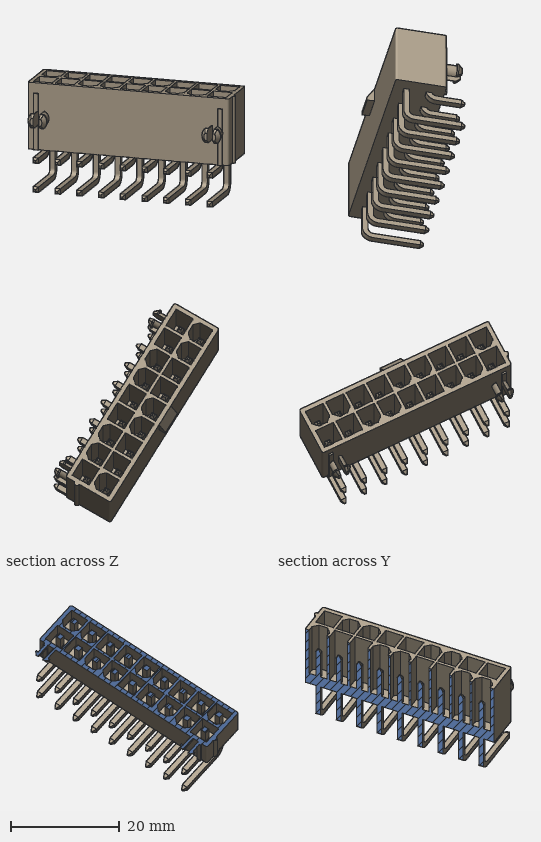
import cadquery as cq
import math


body_length = 38.93
body_width = 9.6
body_height = 12.73
corner_radius = 0.4
front_y = -body_width / 2
back_y = body_width / 2

columns = 9
end_column_span = 33.6
pitch = end_column_span / (columns - 1)
end_column_x = end_column_span / 2
back_row_y = pitch / 2
front_row_y = -pitch / 2

pocket_size = 3.62
pocket_depth = 10.25
pocket_corner_cut = 0.95
back_keyed_columns = (0, 1, 4, 5, 8)
front_keyed_columns = (2, 3, 6, 7)

pin_size = 1.05
pin_row_shift = 0.2
pin_top_gap = 3.95
pin_reach = 3.98
bend_inner_radius = 0.95
back_pin_drop = 7.2
row_drop_step = 5.5
front_pin_drop = back_pin_drop - row_drop_step
tip_length = 0.7
tip_size = 0.35

latch_width = 4.25
latch_depth = 1.4
latch_ramp_height = 2.32
latch_height = 3.1
latch_undercut = 0.15

rib_radius = 0.47
rib_y = -body_width / 4

rail_width = 0.85
rail_thickness = 0.35
rail_top_gap = 1.97
peg_z = 6.1
peg_radius = 1.45
peg_slot_width = 1.15
barb_radius = 1.8
barb_start = 2.2
barb_taper_start = 2.5
peg_length = 3.3
barb_taper_inset = 0.67
peg_half_height = math.sqrt(peg_radius**2 - (peg_slot_width / 2) ** 2)


def column_x(column):
    return -end_column_x + column * pitch


def make_body():
    body = cq.Workplane("XY").box(body_length, body_width, body_height, centered=(True, True, False))
    return body.edges("|Z").fillet(corner_radius)


def make_pocket(x, y, keyed):
    pocket = (
        cq.Workplane("XY", origin=(x, y, body_height - pocket_depth))
        .rect(pocket_size, pocket_size)
        .extrude(pocket_depth)
    )
    if keyed:
        pocket = pocket.edges("|Z and <Y").chamfer(pocket_corner_cut)
    return pocket


def make_tip(plane):
    return (
        cq.Workplane(plane)
        .rect(pin_size, pin_size)
        .workplane(offset=tip_length)
        .rect(tip_size, tip_size)
        .loft()
    )


def make_pin(x, row_y, drop):
    centre_y = row_y + pin_row_shift
    outer_y = centre_y + pin_size / 2
    inner_y = centre_y - pin_size / 2
    shank_top_z = body_height - pin_top_gap - tip_length
    shank_end_y = front_y - pin_reach + tip_length
    leg_bottom_z = -drop
    leg_top_z = leg_bottom_z + pin_size
    bend_outer_radius = bend_inner_radius + pin_size
    shank = (
        cq.Workplane("YZ", origin=(x - pin_size / 2, 0, 0))
        .moveTo(inner_y, shank_top_z)
        .lineTo(outer_y, shank_top_z)
        .lineTo(outer_y, leg_bottom_z + bend_outer_radius)
        .radiusArc((outer_y - bend_outer_radius, leg_bottom_z), bend_outer_radius)
        .lineTo(shank_end_y, leg_bottom_z)
        .lineTo(shank_end_y, leg_top_z)
        .lineTo(inner_y - bend_inner_radius, leg_top_z)
        .radiusArc((inner_y, leg_top_z + bend_inner_radius), -bend_inner_radius)
        .close()
        .extrude(pin_size)
    )
    top_plane = cq.Plane((x, centre_y, shank_top_z), (1, 0, 0), (0, 0, 1))
    leg_plane = cq.Plane((x, shank_end_y, leg_bottom_z + pin_size / 2), (1, 0, 0), (0, -1, 0))
    return shank.union(make_tip(top_plane)).union(make_tip(leg_plane))


def make_latch():
    tip_y = back_y + latch_depth
    return (
        cq.Workplane("YZ", origin=(-latch_width / 2, 0, 0))
        .moveTo(back_y, body_height)
        .lineTo(tip_y, body_height - latch_ramp_height)
        .lineTo(tip_y, body_height - latch_height)
        .lineTo(back_y, body_height - latch_height + latch_undercut)
        .close()
        .extrude(latch_width)
    )


def make_rib():
    return cq.Workplane("XY", origin=(body_length / 2, rib_y, 0)).circle(rib_radius).extrude(body_height)


def make_rail(side):
    """Rail beside a peg, its inner edge flush with the peg's slot; side is -1 or +1."""
    centre_x = side * (end_column_x + (peg_slot_width + rail_width) / 2)
    return cq.Workplane("XY", origin=(centre_x, front_y - rail_thickness / 2, 0)).box(
        rail_width, rail_thickness, body_height - rail_top_gap, centered=(True, True, False)
    )


def barb_outline(plane):
    """Disc with flats on its upper and lower sides."""
    flat_x = math.sqrt(barb_radius**2 - peg_half_height**2)
    return (
        cq.Workplane(plane)
        .moveTo(-flat_x, -peg_half_height)
        .lineTo(flat_x, -peg_half_height)
        .threePointArc((barb_radius, 0), (flat_x, peg_half_height))
        .lineTo(-flat_x, peg_half_height)
        .threePointArc((-barb_radius, 0), (-flat_x, -peg_half_height))
        .close()
    )


def make_peg(x):
    def peg_plane(distance):
        return cq.Plane((x, front_y - distance, peg_z), (1, 0, 0), (0, -1, 0))

    taper_length = peg_length - barb_taper_start
    taper_angle = math.degrees(math.atan2(barb_taper_inset, taper_length))
    shaft = cq.Workplane(peg_plane(0)).circle(peg_radius).extrude(barb_taper_start)
    collar = barb_outline(peg_plane(barb_start)).extrude(barb_taper_start - barb_start)
    nose = barb_outline(peg_plane(barb_taper_start)).extrude(taper_length, taper=taper_angle)
    slot = cq.Workplane(peg_plane(0)).rect(peg_slot_width, 2 * barb_radius).extrude(peg_length)
    return shaft.union(collar).union(nose).cut(slot)


result = make_body().union(make_latch()).union(make_rib())

for side in (-1, 1):
    result = result.union(make_rail(side)).union(make_peg(side * end_column_x))

for row_y, keyed_columns, drop in (
    (back_row_y, back_keyed_columns, back_pin_drop),
    (front_row_y, front_keyed_columns, front_pin_drop),
):
    for column in range(columns):
        x = column_x(column)
        result = result.cut(make_pocket(x, row_y, column in keyed_columns))
        result = result.union(make_pin(x, row_y, drop))